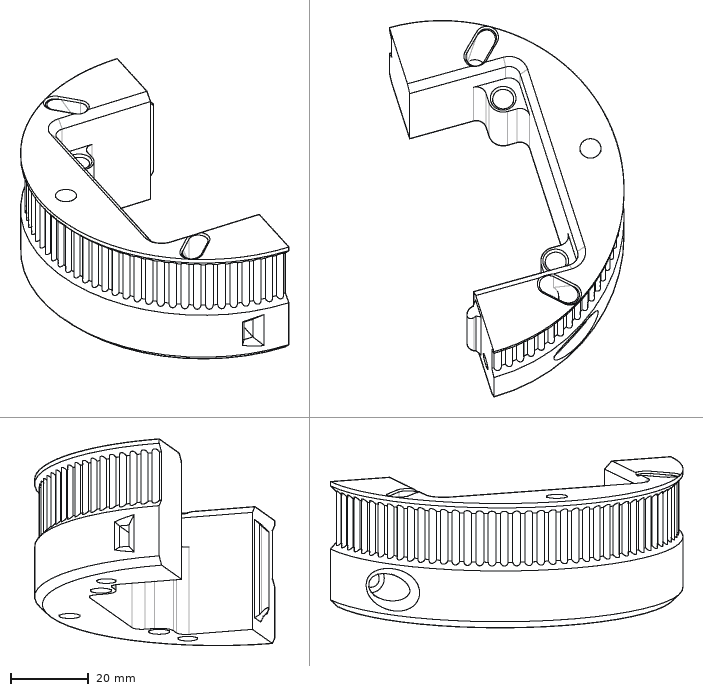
import cadquery as cq
import math


height = 33.0
rim_radius = 47.0
base_chamfer = 2.0
lower_rim_top = 15.3
upper_flange_thickness = 1.15
root_radius = 45.1

tooth_count = 90
tooth_radius = 1.03
tooth_tip_height = 0.8
tooth_pitch = 360.0 / tooth_count

opening_half_width = 28.7
opening_depth = 28.8
opening_corner_radius = 3.0
opening_chamfer = 2.0

ear_offset = 23.6
ear_radius = 3.85
ear_fillet = 2.6
ear_height = 23.2
ear_hole_diameter = 5.4
ear_hole_chamfer = 0.6

web_hole_diameter = 5.4
web_hole_y = -40.0

cord_x = 33.0
cord_y = -19.0
cord_diameter = 5.0
cord_tilt = 35.0
cord_run = 5.5
cord_direction = 45.0
cord_chamfer = 0.5

screw_x = 39.5
screw_z = 8.65
screw_diameter = 4.2
screw_head_diameter = 7.0
screw_seat_y = -10.0
screw_mouth_chamfer = 2.0
nut_thickness = 2.6
nut_width = 5.6
nut_y = -10.4
nut_pocket_end = 36.5
nut_mouth_chamfer = 1.5

key_x = -33.0
key_height = 3.0
key_radius = 1.45
key_flare = 1.0
key_length = 26.0


def half_rim():
    """Revolve the flanged rim profile through the half turn on the -Y side."""
    flange_step = rim_radius - root_radius
    upper_flange_bottom = height - upper_flange_thickness
    return (
        cq.Workplane("XZ")
        .moveTo(0, 0)
        .lineTo(rim_radius - base_chamfer, 0)
        .lineTo(rim_radius, base_chamfer)
        .lineTo(rim_radius, lower_rim_top)
        .lineTo(root_radius, lower_rim_top + flange_step)
        .lineTo(root_radius, upper_flange_bottom - flange_step)
        .lineTo(rim_radius, upper_flange_bottom)
        .lineTo(rim_radius, height)
        .lineTo(0, height)
        .close()
        .revolve(180, (0, 0, 0), (0, -1, 0))
    )


def teeth():
    """Round ribs between the two flanges, half a pitch clear of the split face."""
    tooth_length = height - upper_flange_thickness - lower_rim_top
    rib_axis_radius = root_radius + tooth_tip_height - tooth_radius
    return (
        cq.Workplane("XY")
        .workplane(offset=lower_rim_top)
        .polarArray(rib_axis_radius, 180 + tooth_pitch / 2, tooth_pitch, tooth_count // 2, fill=False)
        .circle(tooth_radius)
        .extrude(tooth_length)
    )


def rounded_opening(margin):
    """Plan outline of the opening, grown evenly by a margin; only its -Y half meets the rim."""
    return (
        cq.Sketch()
        .rect(2 * (opening_half_width + margin), 2 * (opening_depth + margin))
        .vertices()
        .fillet(opening_corner_radius + margin)
    )


def opening():
    """Rectangular opening with round inner corners, widened by a chamfer at the top."""
    pocket = cq.Workplane("XY").placeSketch(rounded_opening(0)).extrude(height)
    mouth = (
        cq.Workplane("XY")
        .workplane(offset=height)
        .placeSketch(rounded_opening(opening_chamfer))
        .extrude(-opening_chamfer, taper=45)
    )
    return pocket.union(mouth)


def ear(side):
    """Mounting ear in one corner of the opening, blended into both walls."""
    inner_x = ear_offset - ear_radius
    inner_y = -ear_offset + ear_radius
    wall_x = opening_half_width + opening_corner_radius
    wall_y = -opening_depth - opening_corner_radius
    outline = (
        cq.Workplane("XY")
        .moveTo(wall_x, wall_y)
        .lineTo(inner_x - ear_fillet, wall_y)
        .lineTo(inner_x - ear_fillet, -opening_depth)
        .radiusArc((inner_x, -opening_depth + ear_fillet), -ear_fillet)
        .lineTo(inner_x, -ear_offset)
        .radiusArc((ear_offset, inner_y), ear_radius)
        .lineTo(opening_half_width - ear_fillet, inner_y)
        .radiusArc((opening_half_width, inner_y + ear_fillet), -ear_fillet)
        .lineTo(wall_x, inner_y + ear_fillet)
        .close()
        .extrude(ear_height)
    )
    hole_radius = ear_hole_diameter / 2
    hole = cq.Workplane("XY").center(ear_offset, -ear_offset).circle(hole_radius).extrude(ear_height)
    countersink = (
        cq.Workplane("XY")
        .workplane(offset=ear_height)
        .center(ear_offset, -ear_offset)
        .circle(hole_radius + ear_hole_chamfer)
        .extrude(-ear_hole_chamfer, taper=45)
    )
    right_ear = outline.cut(hole).cut(countersink)
    return right_ear if side > 0 else right_ear.mirror("YZ")


def web_hole():
    """Through hole in the middle of the web."""
    return cq.Workplane("XY").center(0, web_hole_y).circle(web_hole_diameter / 2).extrude(height)


def cord_channel(side):
    """Vertical bore joined to a tilted bore that leaves through the top face."""
    bore_radius = cord_diameter / 2
    tilt = math.radians(cord_tilt)
    bend_depth = cord_run / math.tan(tilt)
    mouth_run = cord_run + bore_radius / math.cos(tilt) - bore_radius

    vertical_bore = cq.Workplane("XY").circle(bore_radius).extrude(height)
    axis = cq.Vector(math.sin(tilt), 0, math.cos(tilt))
    bend = cq.Vector(0, 0, height - bend_depth)
    bore_length = 2 * bend_depth / math.cos(tilt)
    tilted_bore = cq.Workplane(cq.Solid.makeCylinder(bore_radius, bore_length, bend, axis))
    web_between = (
        cq.Workplane("XZ")
        .polyline([(0, height - bend_depth), (cord_run, height), (0, height)])
        .close()
        .extrude(bore_radius, both=True)
    )
    mouth = (
        cq.Workplane("XY")
        .workplane(offset=height)
        .center(mouth_run / 2, 0)
        .slot2D(mouth_run + cord_diameter + 2 * cord_chamfer, cord_diameter + 2 * cord_chamfer)
        .extrude(-cord_chamfer, taper=45)
    )
    channel = vertical_bore.union(tilted_bore).union(web_between).union(mouth)
    channel = channel.rotate((0, 0, 0), (0, 0, 1), -cord_direction).translate((cord_x, cord_y, 0))
    return channel if side > 0 else channel.mirror("YZ")


def with_screw_hole(body):
    """Add the clamping screw hole on the -X side, its head bore and the chamfered mouth."""
    screw_hole = (
        cq.Workplane("XZ")
        .center(-screw_x, screw_z)
        .circle(screw_diameter / 2)
        .extrude(rim_radius)
    )
    head_bore = (
        cq.Workplane("XZ", origin=(0, screw_seat_y, 0))
        .center(-screw_x, screw_z)
        .circle(screw_head_diameter / 2)
        .extrude(rim_radius)
    )
    bored = body.cut(screw_hole).cut(head_bore)
    mouth_centre = (-screw_x, -math.sqrt(rim_radius**2 - screw_x**2), screw_z)
    mouth_edge = cq.selectors.NearestToPointSelector(mouth_centre)
    return bored.edges(mouth_edge).chamfer(screw_mouth_chamfer)


def nut_pocket():
    """Side pocket on the +X side for the nut of the opposite screw, with a flared mouth.

    The 45 degree flare runs on past the rim surface so that it cuts the curved rim cleanly.
    """
    mouth_x = math.sqrt(rim_radius**2 - nut_y**2)
    flare = nut_mouth_chamfer
    pocket = (
        cq.Workplane("YZ", origin=(nut_pocket_end, nut_y, screw_z))
        .rect(nut_thickness, nut_width)
        .extrude(rim_radius)
    )
    mouth = (
        cq.Workplane("YZ", origin=(mouth_x - flare, nut_y, screw_z))
        .rect(nut_thickness, nut_width)
        .workplane(offset=2 * flare)
        .rect(nut_thickness + 4 * flare, nut_width + 4 * flare)
        .loft(ruled=True)
    )
    return pocket.union(mouth)


def key():
    """Locating key on the split face: a round-nosed rib with a flared foot and 45 degree ends."""
    shoulder = key_height - key_radius
    foot_bottom = (height - key_length) / 2
    foot_top = foot_bottom + key_length
    profile = (
        cq.Workplane("XY")
        .moveTo(key_x - key_radius - key_flare, 0)
        .lineTo(key_x - key_radius, key_flare)
        .lineTo(key_x - key_radius, shoulder)
        .threePointArc((key_x, key_height), (key_x + key_radius, shoulder))
        .lineTo(key_x + key_radius, key_flare)
        .lineTo(key_x + key_radius + key_flare, 0)
        .close()
        .extrude(height)
    )
    side_outline = (
        cq.Workplane("YZ")
        .moveTo(0, foot_bottom)
        .lineTo(0, foot_top)
        .lineTo(key_height, foot_top - key_height)
        .lineTo(key_height, foot_bottom + key_height)
        .close()
        .extrude(-rim_radius)
    )
    return profile.intersect(side_outline)


body = half_rim().union(teeth()).cut(opening())
body = with_screw_hole(body)
body = body.cut(web_hole()).cut(nut_pocket())
for side in (-1, 1):
    body = body.union(ear(side)).cut(cord_channel(side))
result = body.union(key())